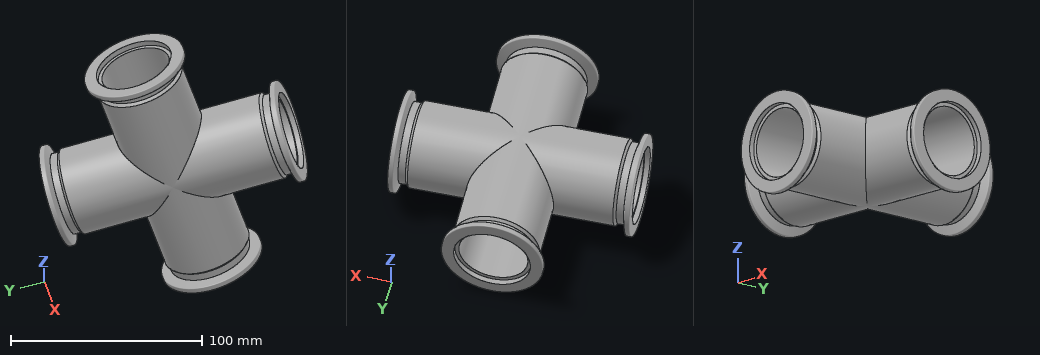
import cadquery as cq
import math

span = 130.0
flange_diameter = 54.9

pipe_diameter = 46.7
bore_diameter = 37.0
pipe_chamfer = 1.5
neck_diameter = 43.8
end_length = 8.3

recess_diameter = 41.2
recess_depth = 3.0
rim_width = 3.0
rim_rounding = 0.5
cone_angle = 15.0

half_span = span / 2
flange_radius = flange_diameter / 2
neck_radius = neck_diameter / 2
cone_length = (flange_radius - neck_radius) * math.tan(math.radians(cone_angle))
flange_length = rim_width + cone_length
pipe_length = span - 2 * end_length
neck_span = span - 2 * flange_length
spigot_span = span - 2 * recess_depth


def bar_along_x(diameter, length):
    """Solid round bar along X, centred on the origin."""
    return cq.Workplane("YZ").circle(diameter / 2).extrude(length / 2, both=True)


def quarter_turn(bar):
    """Turn a bar along X so that it lies along Y."""
    return bar.rotate((0, 0, 0), (0, 0, 1), 90)


def make_cross():
    """Two equal pipes crossing at right angles, each end stepped down to a neck and a spigot."""
    pipe = bar_along_x(pipe_diameter, pipe_length).edges("%CIRCLE").chamfer(pipe_chamfer)
    neck = bar_along_x(neck_diameter, neck_span)
    spigot = bar_along_x(recess_diameter, spigot_span)
    branch = pipe.union(neck).union(spigot)
    bore = bar_along_x(bore_diameter, spigot_span)
    return branch.union(quarter_turn(branch)).cut(bore).cut(quarter_turn(bore))


def make_flange(angle):
    """Clamp flange fitted over the spigot that points at the given angle from +X."""
    recess_radius = recess_diameter / 2
    back_x = half_span - flange_length
    profile = (
        cq.Workplane("XY")
        .moveTo(back_x, recess_radius)
        .lineTo(half_span, recess_radius)
        .lineTo(half_span, flange_radius)
        .lineTo(half_span - rim_width, flange_radius)
        .lineTo(back_x, neck_radius)
        .close()
    )
    flange = profile.revolve(360, (0, 0, 0), (1, 0, 0))
    rim_edges = cq.selectors.RadiusNthSelector(-1)
    flange = flange.edges(rim_edges).fillet(rim_rounding)
    return flange.rotate((0, 0, 0), (0, 0, 1), angle)


cross = make_cross()
flanges = [make_flange(angle) for angle in (0, 90, 180, 270)]

result = cq.Compound.makeCompound([cross.val(), *[flange.val() for flange in flanges]])